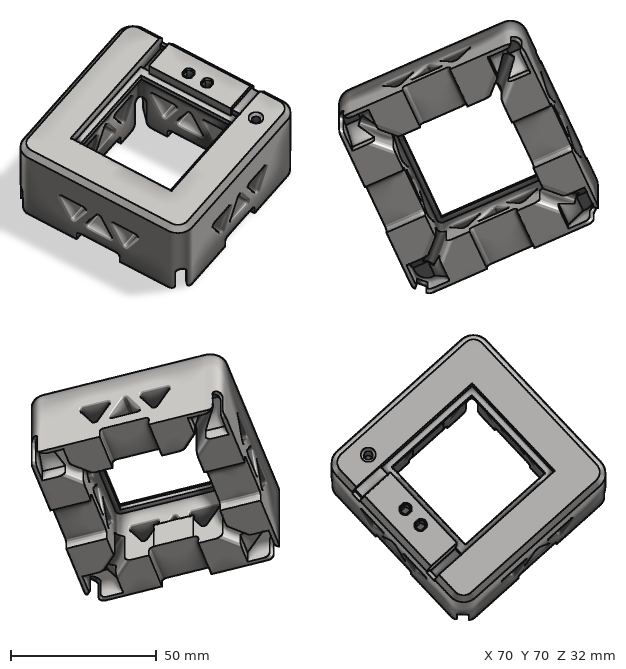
import cadquery as cq
import math

side = 70.0
height = 32.0
corner_radius = 6.0
top_chamfer = 2.0
half = side / 2

cavity_side = 40.8
cavity_corner_radius = 1.8
opening_side = 37.2
recess_side = 41.8
recess_floor = height - 4.0
ledge_thickness = 2.0
ledge_bottom = recess_floor - ledge_thickness

bridge_width = 33.8
groove_width = (recess_side - bridge_width) / 2
groove_centre = (recess_side + bridge_width) / 4
key_height = 2.4
key_front = 21.8
key_back = 33.6

pin_spacing = 7.66
pin_y = 25.8
pin_diameter = 3.4
pin_flat_width = 2.9
pin_mouth_depth = 0.5
pin_depth = 5.0
screw_x = 26.5
screw_y = 22.3
screw_diameter = 3.0
screw_mouth_diameter = 5.1
screw_depth = 8.0

window_circumradius = 7.0
window_corner_radius = 1.0
window_rounding = 1.0
window_pitch = 10.77
window_bottom = 9.0
window_inradius = window_circumradius / 2
window_height = window_circumradius + window_inradius - window_corner_radius

notch_width = 17.8
notch_height = 4.0
notch_radius = 1.5

slot_width = 4.0
slot_foot_radius = 2.0
outer_slot_height = 10.6
inner_slot_height = 14.5
skin = 1.5
pocket_wall = 2.0
pocket_straight_height = 5.0
pocket_lean = 30.0
pocket_roof_height = 9.6

plug_width = 14.2
plug_top = 15.6
plug_thickness = 1.2
plug_proud = 0.1


def block(x_range, y_range, z_range):
    """Box between the given limits."""
    size = [limits[1] - limits[0] for limits in (x_range, y_range, z_range)]
    corner = (x_range[0], y_range[0], z_range[0])
    return cq.Workplane("XY").box(*size, centered=False).translate(corner)


def square_prism(width, bottom, top):
    return cq.Workplane("XY").workplane(offset=bottom).rect(width, width).extrude(top - bottom)


def outer_block():
    prism = square_prism(side, 0, height).edges("|Z").fillet(corner_radius)
    return prism.faces(">Z").chamfer(top_chamfer)


def central_opening():
    cavity = square_prism(cavity_side, 0, ledge_bottom).edges("|Z").fillet(cavity_corner_radius)
    opening = square_prism(opening_side, 0, height)
    recess = square_prism(recess_side, recess_floor, height)
    return cavity.union(opening).union(recess)


def rear_groove(x_centre):
    """Groove from the recess to the rear face."""
    x_range = (x_centre - groove_width / 2, x_centre + groove_width / 2)
    return block(x_range, (0, half), (recess_floor, height))


def groove_key(x_centre, bottom):
    """Block matching the keyed stretch of a groove floor."""
    x_range = (x_centre - groove_width / 2, x_centre + groove_width / 2)
    return block(x_range, (key_front, key_back), (bottom, bottom + key_height))


def flatted_pin_hole(x):
    """Blind round hole with two flats facing X and a 45 degree mouth."""
    mouth_width = pin_flat_width + 2 * pin_mouth_depth
    mouth_diameter = pin_diameter + 2 * pin_mouth_depth
    top = cq.Workplane("XY", origin=(x, pin_y, height))
    hole = flatted_circle(top, pin_diameter, pin_flat_width).extrude(-pin_depth)
    mouth = flatted_circle(top, mouth_diameter, mouth_width).extrude(-pin_mouth_depth, taper=45)
    return hole.union(mouth)


def flatted_circle(plane, diameter, width):
    """Closed outline of a circle cut off at half the width on either side."""
    radius = diameter / 2
    flat_x = width / 2
    flat_y = math.sqrt(radius**2 - flat_x**2)
    return (
        plane.moveTo(flat_x, -flat_y)
        .lineTo(flat_x, flat_y)
        .threePointArc((0, radius), (-flat_x, flat_y))
        .lineTo(-flat_x, -flat_y)
        .threePointArc((0, -radius), (flat_x, -flat_y))
        .close()
    )


def screw_hole():
    """Blind hole from the top face with a 45 degree mouth."""
    mouth_depth = (screw_mouth_diameter - screw_diameter) / 2
    top = cq.Workplane("XY", origin=(screw_x, screw_y, height))
    hole = top.circle(screw_diameter / 2).extrude(-screw_depth)
    mouth = top.circle(screw_mouth_diameter / 2).extrude(-mouth_depth, taper=45)
    return hole.union(mouth)


def window(offset, points_up):
    """Triangular tunnel from the cavity to the -Y face, rounded over at both mouths."""
    centre_z = window_bottom + window_inradius
    tip_direction = 90
    if not points_up:
        centre_z = window_bottom + window_height - window_inradius
        tip_direction = -90
    angles = [math.radians(tip_direction + turn) for turn in (0, 120, 240)]
    corners = [
        (
            offset + window_circumradius * math.cos(angle),
            centre_z + window_circumradius * math.sin(angle),
        )
        for angle in angles
    ]
    wall_thickness = half - cavity_side / 2
    tunnel = (
        cq.Workplane("XZ", origin=(0, -cavity_side / 2, 0))
        .polyline(corners)
        .close()
        .extrude(wall_thickness)
        .edges("|Y")
        .fillet(window_corner_radius)
    )
    margin = window_circumradius + 2 * window_rounding
    slab = block(
        (offset - margin, offset + margin),
        (-half, -cavity_side / 2),
        (centre_z - margin, centre_z + margin),
    )
    inside_margin = margin - window_rounding / 2
    mouth_edges = cq.selectors.BoxSelector(
        (offset - inside_margin, -side, centre_z - inside_margin),
        (offset + inside_margin, 0, centre_z + inside_margin),
    )
    rounded_slab = slab.cut(tunnel).edges(mouth_edges).edges("not |Y").fillet(window_rounding)
    return slab.cut(rounded_slab)


def wall_windows():
    """Three windows of the -Y wall; the middle one points up."""
    row = window(0, True)
    for offset in (-window_pitch, window_pitch):
        row = row.union(window(offset, False))
    return row


def notch_bar():
    """Bar that cuts the notches of two opposite walls."""
    bar = block((-notch_width / 2, notch_width / 2), (-half, half), (0, notch_height))
    return bar.edges("|Y and >Z").fillet(notch_radius)


def corner_slot(start, end, top):
    """Round-topped slot with flared feet, along +X between two distances from the axis."""
    half_width = slot_width / 2
    foot = half_width + slot_foot_radius
    bend = slot_foot_radius * math.sqrt(0.5)
    bend_y = foot - bend
    bend_z = slot_foot_radius - bend
    spring = top - half_width
    return (
        cq.Workplane("YZ", origin=(start, 0, 0))
        .moveTo(-foot, 0)
        .threePointArc((-bend_y, bend_z), (-half_width, slot_foot_radius))
        .lineTo(-half_width, spring)
        .threePointArc((0, top), (half_width, spring))
        .lineTo(half_width, slot_foot_radius)
        .threePointArc((bend_y, bend_z), (foot, 0))
        .close()
        .extrude(end - start)
    )


def corner_pocket():
    """Pocket at the (+X, +Y) corner; the upper part of its two inner sides leans outward."""
    inner = cavity_side / 2 + pocket_wall
    outer = half - skin
    width = outer - inner
    roof_width = width - pocket_roof_height * math.tan(math.radians(pocket_lean))
    roof_shift = (width - roof_width) / 2
    base_centre = (inner + outer) / 2
    pocket = block((inner, outer), (inner, outer), (0, pocket_straight_height))
    roof = (
        cq.Workplane("XY", origin=(base_centre, base_centre, pocket_straight_height))
        .rect(width, width)
        .workplane(offset=pocket_roof_height)
        .center(roof_shift, roof_shift)
        .rect(roof_width, roof_width)
        .loft(ruled=True)
    )
    limit = square_prism(2 * outer, 0, height).edges("|Z").fillet(corner_radius - skin)
    return pocket.union(roof).intersect(limit)


def corner_cut():
    """Pocket with its slots to the outside and to the cavity, at the (+X, +Y) corner."""
    pocket_middle = (cavity_side / 2 + pocket_wall + half - skin) / math.sqrt(2)
    outer_slot = corner_slot(pocket_middle, side, outer_slot_height)
    inner_slot = corner_slot(0, pocket_middle, inner_slot_height)
    slots = inner_slot.union(outer_slot).rotate((0, 0, 0), (0, 0, 1), 45)
    return corner_pocket().union(slots)


def window_plug():
    face = cavity_side / 2 - plug_proud
    return block(
        (face, face + plug_thickness),
        (-plug_width / 2, plug_width / 2),
        (notch_height, plug_top),
    )


def turned(shape, quarter_turns):
    return shape.rotate((0, 0, 0), (0, 0, 1), 90 * quarter_turns)


result = outer_block().cut(central_opening())
windows = wall_windows()
corner = corner_cut()
for quarter in range(4):
    result = result.cut(turned(windows, quarter))
    result = result.cut(turned(corner, quarter))
notches = notch_bar()
for quarter in range(2):
    result = result.cut(turned(notches, quarter))
for direction in (-1, 1):
    result = result.cut(rear_groove(direction * groove_centre))
    result = result.cut(flatted_pin_hole(direction * pin_spacing / 2))
result = result.union(groove_key(groove_centre, recess_floor))
result = result.cut(groove_key(-groove_centre, recess_floor - key_height))
result = result.cut(screw_hole())
result = result.union(window_plug())